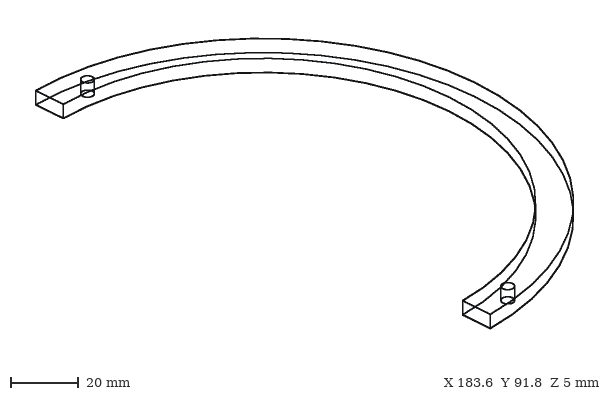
import cadquery as cq

outer_radius = 91.8
inner_radius = 80.6
thickness = 5.0

hole_diameter = 4.0
hole_offset_x = 84.8
hole_offset_y = 15.0


def half_ring():
    """Flat half ring with its ends on the X axis and its crown toward +Y."""
    return (
        cq.Workplane("XY")
        .moveTo(-outer_radius, 0)
        .threePointArc((0, outer_radius), (outer_radius, 0))
        .lineTo(inner_radius, 0)
        .threePointArc((0, inner_radius), (-inner_radius, 0))
        .close()
        .extrude(thickness)
    )


def mounting_holes():
    """Pair of through-hole cutters, mirrored about the YZ plane."""
    return (
        cq.Workplane("XY")
        .pushPoints([(side * hole_offset_x, hole_offset_y) for side in (-1, 1)])
        .circle(hole_diameter / 2)
        .extrude(thickness)
    )


result = half_ring().cut(mounting_holes())